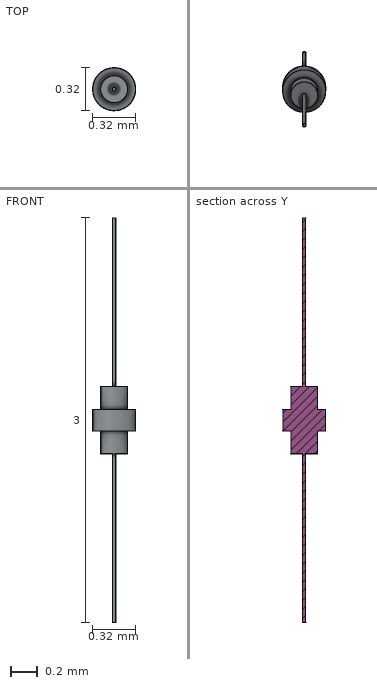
import cadquery as cq

wire_length = 3.0
wire_diameter = 0.025
sleeve_length = 0.5
sleeve_diameter = 0.2
flange_thickness = 0.16
flange_diameter = 0.32


def centred_cylinder(diameter, length):
    """Cylinder along Z with its middle at the origin."""
    return cq.Workplane("XY").cylinder(length, diameter / 2)


wire = centred_cylinder(wire_diameter, wire_length)
sleeve = centred_cylinder(sleeve_diameter, sleeve_length)
flange = centred_cylinder(flange_diameter, flange_thickness)

result = flange.union(sleeve).union(wire)